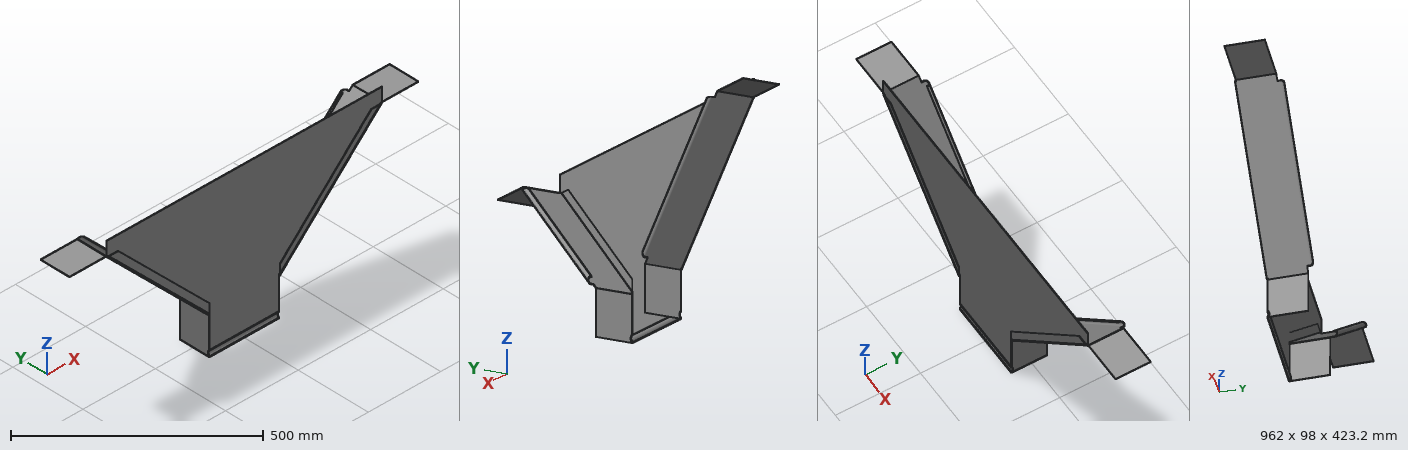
import cadquery as cq
import math


SHEET = 1.5

TOTAL_WIDTH = 961.99
TOTAL_HEIGHT = 423.21
TOTAL_DEPTH = 97.99
ARM_LENGTH = 101.0
STEM_LENGTH = 101.0
FLOOR_RISE = 39.0

ARM_Z = TOTAL_HEIGHT - FLOOR_RISE
ARM_END_X = TOTAL_WIDTH / 2
CORNER_X = ARM_END_X - ARM_LENGTH
SLOPE_RUN = ARM_Z - STEM_LENGTH
STEM_X = CORNER_X - SLOPE_RUN

FLOOR_FRONT = SHEET
FLOOR_BACK = FLOOR_FRONT + SHEET

WALL_BACK = 85.5
FOOT_WIDTH = 22.0
FOOT_BEND = 4.0

RIM_WIDTH = 12.0
RIM_RADIUS = RIM_WIDTH / 2
RIM_CENTRE_Y = TOTAL_DEPTH - RIM_RADIUS
RIM_LIP_Y = 89.0
RIM_SETBACK = 9.5

BEAD_Z = 9.0
BEAD_HALF = 7.0
BEAD_DEPTH = 3.2
BEAD_RADIUS = (BEAD_HALF**2 + BEAD_DEPTH**2) / (2 * BEAD_DEPTH)
BEAD_AXIS_Y = FLOOR_FRONT + BEAD_DEPTH - BEAD_RADIUS

BEND_ANGLE = math.radians(45)
DIAGONAL = math.sqrt(2)
BEND_STEP = SHEET * math.tan(BEND_ANGLE / 2)


def extrude_back(points, y_start, y_end):
    """Extrude an XZ outline along +Y between two depths."""
    outline = cq.Workplane("XZ", origin=(0, y_start, 0)).polyline(points).close()
    return outline.extrude(y_start - y_end)


def make_bead(radius, half_length):
    """Round bar along X on the bead's axis, cut off at the front face of the floor."""
    bar = (
        cq.Workplane("YZ", origin=(-half_length, 0, 0))
        .center(BEAD_AXIS_Y, BEAD_Z)
        .circle(radius)
        .extrude(2 * half_length)
    )
    keep = [(-STEM_X, 0), (STEM_X, 0), (STEM_X, STEM_LENGTH), (-STEM_X, STEM_LENGTH)]
    behind = extrude_back(keep, FLOOR_FRONT, TOTAL_DEPTH)
    return bar.intersect(behind)


def make_floor():
    """Flat floor that reaches under the feet as far as their bends, with its bead."""
    setback = FOOT_BEND * DIAGONAL
    stem_inner_x = STEM_X - SHEET
    right_side = [
        (stem_inner_x, 0),
        (stem_inner_x, STEM_LENGTH + setback - SHEET),
        (CORNER_X - setback, ARM_Z),
        (CORNER_X, ARM_Z),
        (CORNER_X, TOTAL_HEIGHT),
    ]
    left_side = [(-x, z) for x, z in reversed(right_side)]
    floor = extrude_back(right_side + left_side, FLOOR_FRONT, FLOOR_BACK)
    bead_back = make_bead(BEAD_RADIUS + SHEET, stem_inner_x)
    bead_front = make_bead(BEAD_RADIUS, stem_inner_x)
    return floor.union(bead_back).cut(bead_front)


def sweep_section(section):
    """Extrude a section across the slope along the whole slope, with ample length at both ends."""
    return section.extrude(2 * SLOPE_RUN, both=True)


def slope_plane():
    """Plane across the right slope at its middle; local X points inwards, local Y along +Y."""
    middle = ((CORNER_X + STEM_X) / 2, 0, (ARM_Z + STEM_LENGTH) / 2)
    return cq.Plane(origin=middle, xDir=(-1, 0, 1), normal=(-1, 0, -1))


def make_foot():
    """Foot and bend along the slope, trimmed level with the arm and plumb with the stem."""
    inner_bend = FOOT_BEND - SHEET
    corner = 1 - 1 / DIAGONAL
    outer_mid = FOOT_BEND * corner
    inner_mid = SHEET + inner_bend * corner
    section = (
        cq.Workplane(slope_plane())
        .moveTo(0, FOOT_BEND)
        .threePointArc((outer_mid, outer_mid), (FOOT_BEND, 0))
        .lineTo(FOOT_WIDTH, 0)
        .lineTo(FOOT_WIDTH, SHEET)
        .lineTo(FOOT_BEND, SHEET)
        .threePointArc((inner_mid, inner_mid), (SHEET, FOOT_BEND))
        .close()
    )
    limits = [(STEM_X, 0), (CORNER_X, 0), (CORNER_X, ARM_Z), (STEM_X, ARM_Z)]
    return sweep_section(section).intersect(extrude_back(limits, 0, TOTAL_DEPTH))


def make_rim():
    """Rolled rim along the slope, held back from both bends."""
    section = (
        cq.Workplane(slope_plane())
        .moveTo(0, WALL_BACK)
        .lineTo(0, RIM_CENTRE_Y)
        .threePointArc((RIM_RADIUS, TOTAL_DEPTH), (RIM_WIDTH, RIM_CENTRE_Y))
        .lineTo(RIM_WIDTH, RIM_LIP_Y)
        .lineTo(RIM_WIDTH - SHEET, RIM_LIP_Y)
        .lineTo(RIM_WIDTH - SHEET, RIM_CENTRE_Y)
        .threePointArc((RIM_RADIUS, TOTAL_DEPTH - SHEET), (SHEET, RIM_CENTRE_Y))
        .lineTo(SHEET, WALL_BACK)
        .close()
    )
    inner_x = STEM_X + RIM_SETBACK
    top_z = ARM_Z - RIM_SETBACK
    limits = [(inner_x, 0), (CORNER_X, 0), (CORNER_X, top_z), (inner_x, top_z)]
    return sweep_section(section).intersect(extrude_back(limits, 0, 2 * TOTAL_DEPTH))


def make_right_wall():
    """Arm, slope and stem in one bent strip, with the foot and rim along the slope."""
    strip = [
        (ARM_END_X, ARM_Z),
        (CORNER_X, ARM_Z),
        (STEM_X, STEM_LENGTH),
        (STEM_X, 0),
        (STEM_X - SHEET, 0),
        (STEM_X - SHEET, STEM_LENGTH + BEND_STEP),
        (CORNER_X - BEND_STEP, ARM_Z + SHEET),
        (ARM_END_X, ARM_Z + SHEET),
    ]
    wall = extrude_back(strip, FLOOR_BACK, WALL_BACK)
    front_edge = [
        (CORNER_X, ARM_Z),
        (STEM_X, STEM_LENGTH),
        (STEM_X, STEM_LENGTH + SHEET * DIAGONAL),
        (CORNER_X - SHEET * DIAGONAL, ARM_Z),
    ]
    wall = wall.cut(extrude_back(front_edge, FLOOR_BACK, FOOT_BEND))
    return wall.union(make_foot()).union(make_rim()).cut(make_bead(BEAD_RADIUS + SHEET, STEM_X))


floor = make_floor()
right_wall = make_right_wall()
left_wall = right_wall.mirror("YZ")

result = cq.Compound.makeCompound([floor.val(), right_wall.val(), left_wall.val()])